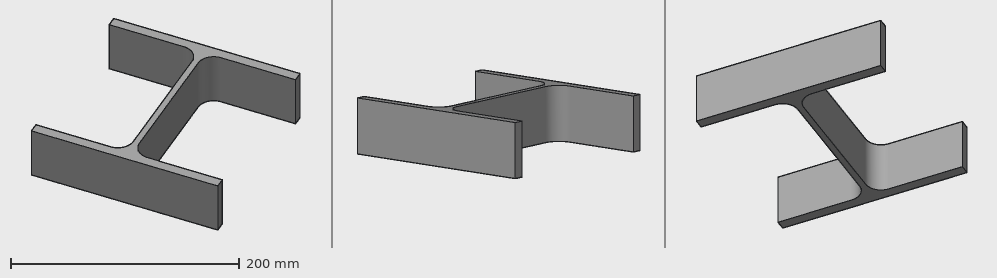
import cadquery as cq

flange_width = 180.0
section_depth = 171.0
length = 50.0
flange_thickness = 9.5
web_thickness = 6.0
root_radius = 15.0

web_depth = section_depth - 2 * flange_thickness
flange_offset = (section_depth - flange_thickness) / 2


def make_flange(y_center):
    """Flat plate across X, centred on the given Y position."""
    return cq.Workplane("XY").box(flange_width, flange_thickness, length).translate((0, y_center, 0))


web = cq.Workplane("XY").box(web_thickness, web_depth, length)
section = web.union(make_flange(-flange_offset)).union(make_flange(flange_offset))

root_zone = cq.selectors.BoxSelector(
    (-web_thickness, -section_depth / 2, -length),
    (web_thickness, section_depth / 2, length),
)
result = section.edges("|Z").edges(root_zone).fillet(root_radius)